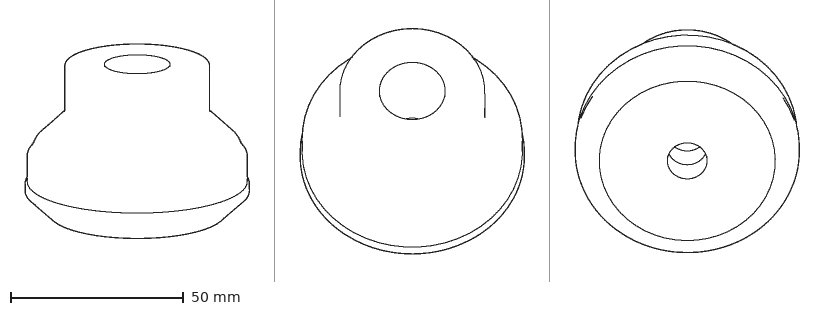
import cadquery as cq

total_height = 45.05
through_hole_radius = 11.5 / 2

base_radius = 65 / 2
base_height = 9.6
base_bottom_radius = 25.5
base_cone_height = 6.65
base_top_fillet = 0.6
base_rim_fillet = 0.3

skirt_radius = 63.8 / 2
skirt_top_z = 17.5
bevel_bottom_radius = 31.5
bevel_bottom_z = 18.5
bevel_length = 0.1
band_bottom_radius = 30.75
band_bottom_z = 19.4
band_top_radius = 29.7
band_top_z = 21.6
cone_bottom_radius = 29.15
cone_top_radius = 21.6
cone_top_z = 29.65
cone_bottom_z = 22.4
neck_radius = 42.0 / 2
neck_bottom_z = 30.95
neck_top_fillet = 0.45

bore_radius = 19.05 / 2
bore_depth = 26.0
bore_floor_fillet = 0.6


def make_base():
    """Ring with a conical underside, a short vertical rim and rounded rim edges."""
    profile = (
        cq.Workplane("XZ")
        .moveTo(through_hole_radius, 0)
        .lineTo(base_bottom_radius, 0)
        .lineTo(base_radius, base_cone_height)
        .lineTo(base_radius, base_height)
        .lineTo(through_hole_radius, base_height)
        .close()
    )
    base = profile.revolve(360, (0, 0, 0), (0, 1, 0))
    base = base.faces(">Z").edges(cq.selectors.RadiusNthSelector(-1)).fillet(base_top_fillet)
    rim_edge = cq.selectors.BoxSelector(
        (-2 * base_radius, -2 * base_radius, base_cone_height - base_rim_fillet),
        (2 * base_radius, 2 * base_radius, base_cone_height + base_rim_fillet),
    )
    return base.edges(rim_edge).edges("%CIRCLE").fillet(base_rim_fillet)


def make_hub_blank():
    """Solid hub; every arc continues the slope of the line before it."""
    profile = (
        cq.Workplane("XZ")
        .moveTo(0, base_height)
        .lineTo(skirt_radius, base_height)
        .lineTo(skirt_radius, skirt_top_z)
        .tangentArcPoint((bevel_bottom_radius, bevel_bottom_z), relative=False)
        .line(-bevel_length, bevel_length)
        .tangentArcPoint((band_bottom_radius, band_bottom_z), relative=False)
        .lineTo(band_top_radius, band_top_z)
        .tangentArcPoint((cone_bottom_radius, cone_bottom_z), relative=False)
        .lineTo(cone_top_radius, cone_top_z)
        .tangentArcPoint((neck_radius, neck_bottom_z), relative=False)
        .lineTo(neck_radius, total_height)
        .lineTo(0, total_height)
        .close()
    )
    hub = profile.revolve(360, (0, 0, 0), (0, 1, 0))
    return hub.faces(">Z").edges().fillet(neck_top_fillet)


def make_bore():
    """Cutting tool for the blind bore, with a rounded floor corner."""
    bore = cq.Workplane("XY").workplane(offset=total_height).circle(bore_radius).extrude(-bore_depth)
    return bore.faces("<Z").edges().fillet(bore_floor_fillet)


def make_hub():
    """Hub with its bore and the smaller hole that runs on through the floor."""
    through_hole = cq.Workplane("XY").circle(through_hole_radius).extrude(total_height)
    return make_hub_blank().cut(make_bore()).cut(through_hole)


base = make_base()
hub = make_hub()

result = cq.Compound.makeCompound([base.val(), hub.val()])